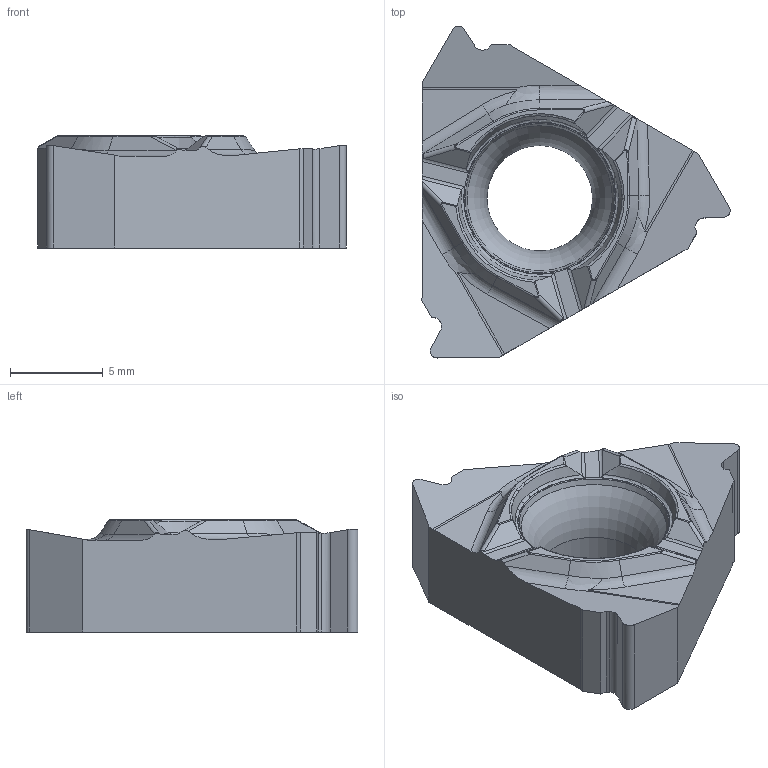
import cadquery as cq
import math

CORNERS = 3
CORNER_STEP = 360.0 / CORNERS
INSCRIBED_RADIUS = 6.35
SIDE_NORMAL_ANGLE = 60.0
HEIGHT = 6.05

FLANK_START_Y = 6.24
TIP_CENTER = (-4.385, 8.935)
TIP_RADIUS = 0.36
FLANK_ANGLE = 60.0
RELIEF_RADIUS = 0.45
RELIEF_CENTER = (-3.12, 8.44)
RELIEF_END_ANGLE = 280.0
RELIEF_EXIT = (-2.84, 8.04)
CREST_Y = 8.285
CREST_START_X = -2.62
CREST_END_X = -1.60
CREST_RUNOUT_X = -1.42

FLOOR_Z = 4.96
RAMP_ANGLE = 10.0
RAMP_START_Y = 5.90
RAMP_BLEND_RADIUS = 0.6

BOSS_RADIUS = 4.82
BOSS_DRAFT = 34.0
WALL_ANGLE = 90.0
BOSS_ARC_SPAN = 31.5
FLOOR_FOOT_RADIUS = 0.7
RAMP_FOOT_RADIUS = 0.78
BOSS_DEPTH = 3.0
BOSS_EDGE_RADIUS = 0.1

SLOT_ANGLE = 46.0
SLOT_FLOOR_Z = 5.28
SLOT_FLOOR_HALF_WIDTH = 0.48
SLOT_WALL_ANGLE = 37.0
SLOT_FLOOR_RADIUS = 0.3
SLOT_EDGE_RADIUS = 0.2

BORE_RADIUS = 5.7 / 2
FLARE_RADIUS = 4.0
FLARE_ANGLE = 43.0
FLARE_BOTTOM_Z = 2.21
RIM_RADIUS = 4.05
RIM_EDGE_RADIUS = 0.06
STEP_FOOT_RADIUS = 4.23
STEP_TOP_RADIUS = 4.475
STEP_FOOT_BLEND = 0.16
STEP_EDGE_RADIUS = 0.12

REACH = 20.0
TOLERANCE = 1e-4


def polar(radius, degrees, center=(0.0, 0.0)):
    a = math.radians(degrees)
    return (center[0] + radius * math.cos(a), center[1] + radius * math.sin(a))


def turn(point, degrees):
    a = math.radians(degrees)
    x, y = point
    return (x * math.cos(a) - y * math.sin(a), x * math.sin(a) + y * math.cos(a))


def rounded_corner(before, corner, after, radius):
    """Start, middle and end of the arc that rounds a corner between two straight lines."""
    corner, before, after = cq.Vector(*corner), cq.Vector(*before), cq.Vector(*after)
    into = (before - corner).normalized()
    out = (after - corner).normalized()
    half_angle = into.getAngle(out) / 2
    setback = radius / math.tan(half_angle)
    bisector = (into + out).normalized()
    middle = corner + bisector * (radius / math.sin(half_angle) - radius)
    points = (corner + into * setback, middle, corner + out * setback)
    return [(p.x, p.y) for p in points]


def around_corners(solid):
    """Copies of a solid turned to each corner."""
    return [solid.rotate((0, 0, 0), (0, 0, 1), i * CORNER_STEP) for i in range(CORNERS)]


def fuse(solids):
    total = solids[0]
    for solid in solids[1:]:
        total = total.union(solid)
    return total


def outline():
    """Plan outline, walked clockwise: flank, tip, relief groove, crest and side of each corner."""
    flank_normal = 90.0 - FLANK_ANGLE
    relief_start = 180.0 + flank_normal
    normal_x, normal_y = polar(1.0, SIDE_NORMAL_ANGLE)
    runout_y = (INSCRIBED_RADIUS - CREST_RUNOUT_X * normal_x) / normal_y
    path = cq.Workplane("XY").moveTo(-INSCRIBED_RADIUS, FLANK_START_Y)
    for i in range(CORNERS):
        a = -i * CORNER_STEP

        def at(point):
            return turn(point, a)

        if i:
            path = path.lineTo(*at((-INSCRIBED_RADIUS, FLANK_START_Y)))
        path = path.lineTo(*at(polar(TIP_RADIUS, 180 - flank_normal, TIP_CENTER)))
        path = path.threePointArc(
            at(polar(TIP_RADIUS, 90, TIP_CENTER)), at(polar(TIP_RADIUS, flank_normal, TIP_CENTER))
        )
        path = path.lineTo(*at(polar(RELIEF_RADIUS, relief_start, RELIEF_CENTER)))
        path = path.threePointArc(
            at(polar(RELIEF_RADIUS, (relief_start + RELIEF_END_ANGLE) / 2, RELIEF_CENTER)),
            at(polar(RELIEF_RADIUS, RELIEF_END_ANGLE, RELIEF_CENTER)),
        )
        path = path.lineTo(*at(RELIEF_EXIT))
        path = path.lineTo(*at((CREST_START_X, CREST_Y)))
        path = path.lineTo(*at((CREST_END_X, CREST_Y)))
        path = path.lineTo(*at((CREST_RUNOUT_X, runout_y)))
    return path.close()


def ramp_height(y):
    """Height of the ramp plane, which also continues below the floor."""
    return FLOOR_Z + (y - RAMP_START_Y) * math.tan(math.radians(RAMP_ANGLE))


def ramp_block():
    """Everything under the ramp plane of the +Y corner."""
    return (
        cq.Workplane("YZ")
        .moveTo(-INSCRIBED_RADIUS, 0)
        .lineTo(-INSCRIBED_RADIUS, ramp_height(-INSCRIBED_RADIUS))
        .lineTo(REACH, ramp_height(REACH))
        .lineTo(REACH, 0)
        .close()
        .extrude(REACH, both=True)
    )


def ramp_blend():
    """Fill under the tangent arc that eases the floor into the ramp."""
    setback = RAMP_BLEND_RADIUS * math.tan(math.radians(RAMP_ANGLE / 2))
    foot_y = RAMP_START_Y - setback
    center = (foot_y, FLOOR_Z + RAMP_BLEND_RADIUS)
    return (
        cq.Workplane("YZ")
        .moveTo(foot_y, FLOOR_Z)
        .threePointArc(
            polar(RAMP_BLEND_RADIUS, 270 + RAMP_ANGLE / 2, center),
            polar(RAMP_BLEND_RADIUS, 270 + RAMP_ANGLE, center),
        )
        .lineTo(RAMP_START_Y, FLOOR_Z)
        .close()
        .extrude(REACH, both=True)
    )


def boss():
    """Six-sided boss with three rounded corners; its walls flare out downward."""
    arc_end = WALL_ANGLE + BOSS_ARC_SPAN
    half_turn = (CORNER_STEP - BOSS_ARC_SPAN) / 2
    vertex_radius = BOSS_RADIUS / math.cos(math.radians(half_turn))
    path = cq.Workplane("XY").workplane(offset=HEIGHT).moveTo(*polar(BOSS_RADIUS, WALL_ANGLE))
    for i in range(CORNERS):
        a = i * CORNER_STEP
        path = path.threePointArc(
            polar(BOSS_RADIUS, a + (WALL_ANGLE + arc_end) / 2), polar(BOSS_RADIUS, a + arc_end)
        )
        path = path.lineTo(*polar(vertex_radius, a + arc_end + half_turn))
        if i < CORNERS - 1:
            path = path.lineTo(*polar(BOSS_RADIUS, a + CORNER_STEP + WALL_ANGLE))
    return path.close().extrude(-BOSS_DEPTH, taper=-BOSS_DRAFT)


def outside_rim(edge):
    c = edge.Center()
    return math.hypot(c.x, c.y) > STEP_TOP_RADIUS


def slotted_boss():
    """Boss with the three slots cut and its outer edges rounded."""
    solid = boss()
    for slot in around_corners(slot_cutter()):
        solid = solid.cut(slot)

    def joins_slot_wall_to_boss_wall(edge):
        starts_on_floor = edge.BoundingBox().zmin > SLOT_FLOOR_Z
        slanted = edge.BoundingBox().zlen > (HEIGHT - SLOT_FLOOR_Z) / 2
        return starts_on_floor and slanted and outside_rim(edge)

    solid = solid.newObject([e for e in solid.edges().vals() if joins_slot_wall_to_boss_wall(e)])
    solid = solid.fillet(SLOT_EDGE_RADIUS)
    crown = [e for e in solid.faces(">Z").edges().vals() if outside_rim(e)]
    return solid.newObject(crown).fillet(BOSS_EDGE_RADIUS)


def fillet_boss_foot(solid, surface_height, start_y, radius):
    """Round the edges beyond start_y where the boss walls meet a surface of the given height(y)."""

    def is_foot(edge):
        c = edge.Center()
        inside = math.hypot(c.x, c.y) < INSCRIBED_RADIUS
        return inside and c.y > start_y and abs(c.z - surface_height(c.y)) < TOLERANCE

    return solid.newObject([e for e in solid.edges().vals() if is_foot(e)]).fillet(radius)


def slot_cutter():
    """Radial V slot with a flat, rounded floor."""
    rise = HEIGHT - SLOT_FLOOR_Z
    top_half_width = SLOT_FLOOR_HALF_WIDTH + rise / math.tan(math.radians(SLOT_WALL_ANGLE))
    profile = [
        (-SLOT_FLOOR_HALF_WIDTH, SLOT_FLOOR_Z),
        (SLOT_FLOOR_HALF_WIDTH, SLOT_FLOOR_Z),
        (top_half_width, HEIGHT),
        (-top_half_width, HEIGHT),
    ]
    bar = cq.Workplane("YZ").polyline(profile).close().extrude(REACH)
    bar = bar.edges("|X and <Z").fillet(SLOT_FLOOR_RADIUS)
    return bar.rotate((0, 0, 0), (0, 0, 1), SLOT_ANGLE)


def bore_cutter():
    """Bore with a flared mouth, a narrow ledge level with the slot floors and a conical step."""
    flare_center = (BORE_RADIUS + FLARE_RADIUS, FLARE_BOTTOM_Z)
    flare_top = polar(FLARE_RADIUS, 180 - FLARE_ANGLE, flare_center)
    rim = (RIM_RADIUS, SLOT_FLOOR_Z)
    step_foot = (STEP_FOOT_RADIUS, SLOT_FLOOR_Z)
    step_top = (STEP_TOP_RADIUS, HEIGHT)
    boss_top = (BOSS_RADIUS, HEIGHT)
    rim_start, rim_middle, rim_end = rounded_corner(flare_top, rim, step_foot, RIM_EDGE_RADIUS)
    foot_start, foot_middle, foot_end = rounded_corner(rim, step_foot, step_top, STEP_FOOT_BLEND)
    edge_start, edge_middle, edge_end = rounded_corner(step_foot, step_top, boss_top, STEP_EDGE_RADIUS)
    return (
        cq.Workplane("XZ")
        .moveTo(0, 0)
        .lineTo(BORE_RADIUS, 0)
        .lineTo(BORE_RADIUS, FLARE_BOTTOM_Z)
        .threePointArc(polar(FLARE_RADIUS, 180 - FLARE_ANGLE / 2, flare_center), flare_top)
        .lineTo(*rim_start)
        .threePointArc(rim_middle, rim_end)
        .lineTo(*foot_start)
        .threePointArc(foot_middle, foot_end)
        .lineTo(*edge_start)
        .threePointArc(edge_middle, edge_end)
        .lineTo(0, HEIGHT)
        .close()
        .revolve(360, (0, 0, 0), (0, 1, 0))
    )


def insert():
    blank = outline().extrude(HEIGHT)
    clipped_boss = slotted_boss().intersect(blank)
    on_floor = outline().extrude(FLOOR_Z).union(clipped_boss)
    flat = fillet_boss_foot(on_floor, lambda y: FLOOR_Z, -REACH, FLOOR_FOOT_RADIUS)
    on_ramp = blank.intersect(ramp_block()).union(clipped_boss)
    ramped = fillet_boss_foot(on_ramp, ramp_height, INSCRIBED_RADIUS / 2, RAMP_FOOT_RADIUS)
    blend = ramp_blend().intersect(blank)
    body = fuse([flat] + around_corners(ramped) + around_corners(blend))
    return body.cut(bore_cutter())


result = insert()